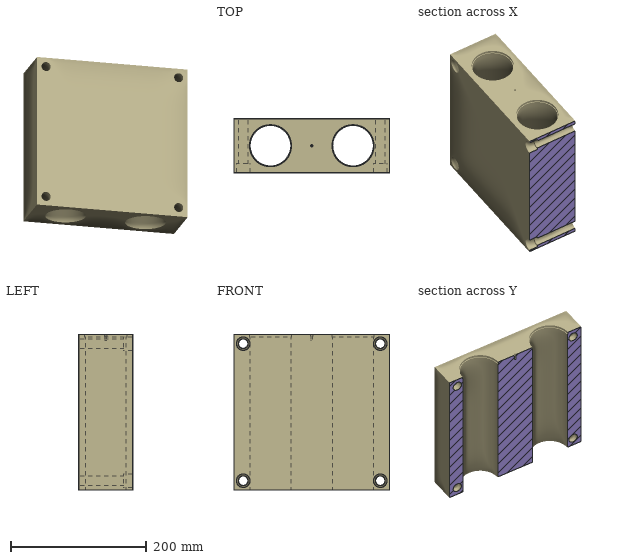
import cadquery as cq

WIDTH = 230.0
THICKNESS = 80.0
HEIGHT = 230.0

BORE_SPACING = 122.0
BORE_DIAMETER = 60.0
BORE_RECESS_DIAMETER = 62.0
BORE_RECESS_DEPTH = 3.7

SCREW_EDGE_DISTANCE = 13.8
SCREW_DIAMETER = 13.8
SCREW_HEAD_DIAMETER = 20.0
SCREW_HEAD_DEPTH = 13.8

PILOT_DIAMETER = 1.5
PILOT_DEPTH = 9.2
PILOT_RECESS_DIAMETER = 3.2
PILOT_RECESS_DEPTH = 2.3

block = cq.Workplane("XY").box(WIDTH, THICKNESS, HEIGHT)


def cut_bores(body):
    """Cut the two through bores, each with a shallow recess at the top."""
    return (
        body.faces(">Z").workplane(origin=(0, 0, 0))
        .pushPoints([(-BORE_SPACING / 2, 0), (BORE_SPACING / 2, 0)])
        .cboreHole(BORE_DIAMETER, BORE_RECESS_DIAMETER, BORE_RECESS_DEPTH)
    )


def cut_screw_holes(body):
    """Cut the four corner holes, counterbored from the -Y face."""
    return (
        body.faces("<Y").workplane(origin=(0, 0, 0))
        .rarray(WIDTH - 2 * SCREW_EDGE_DISTANCE, HEIGHT - 2 * SCREW_EDGE_DISTANCE, 2, 2)
        .cboreHole(SCREW_DIAMETER, SCREW_HEAD_DIAMETER, SCREW_HEAD_DEPTH)
    )


def cut_pilot_hole(body):
    """Cut the small stepped blind hole in the middle of the top face."""
    return (
        body.faces(">Z").workplane(origin=(0, 0, 0))
        .cboreHole(PILOT_DIAMETER, PILOT_RECESS_DIAMETER, PILOT_RECESS_DEPTH, PILOT_DEPTH)
    )


result = cut_pilot_hole(cut_screw_holes(cut_bores(block)))